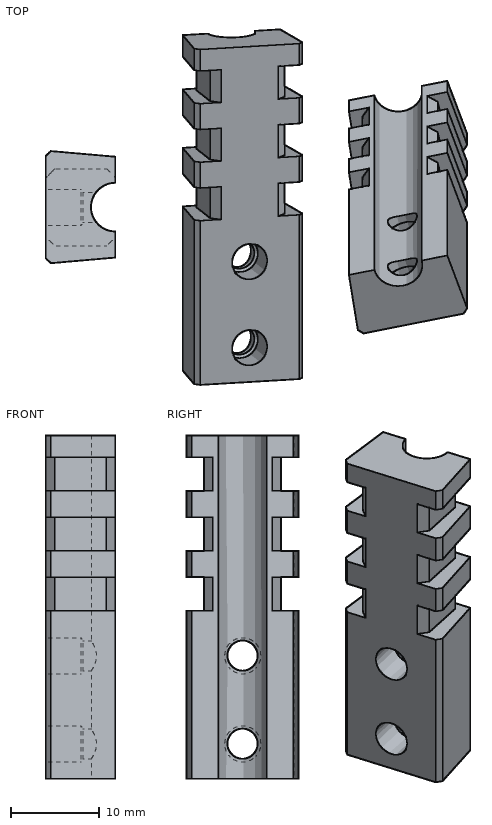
import cadquery as cq
import math

depth = 7.9
max_width = 12.75
height = 39.0
draft_angle = math.radians(5)
corner_chamfer = 0.6

groove_radius = 2.75

notch_height = 3.8
rib_height = 3.0
notch_count = 3
first_notch_z = 19.1
notch_depth = 2.0
core_chamfer = 1.0

hole_heights = (4.0, 14.0)
hole_mouth_diameter = 4.1
hole_inner_diameter = 3.4
wide_bore_depth = 4.0
cone_half_angle = math.radians(118 / 2)

half_width = max_width / 2
core_width = max_width - 2 * notch_depth


def make_body():
    chamfer_x = corner_chamfer * math.cos(draft_angle)
    front_half = half_width - corner_chamfer * (1 - math.sin(draft_angle))
    back_half = half_width - (depth - chamfer_x) * math.tan(draft_angle)
    return (
        cq.Workplane("XY")
        .moveTo(0, -front_half)
        .lineTo(chamfer_x, -half_width)
        .lineTo(depth, -back_half)
        .lineTo(depth, back_half)
        .lineTo(chamfer_x, half_width)
        .lineTo(0, front_half)
        .close()
        .extrude(height)
    )


def make_groove():
    return cq.Workplane("XY").center(depth, 0).circle(groove_radius).extrude(height)


def make_notch(bottom_z):
    """Slab across the part with the chamfered core left out of it."""
    slab = cq.Workplane("XY").rect(depth, max_width).extrude(notch_height)
    core = (
        cq.Workplane("XY")
        .rect(depth, core_width)
        .extrude(notch_height)
        .edges("|Z")
        .chamfer(core_chamfer)
    )
    return slab.cut(core).translate((depth / 2, 0, bottom_z))


def make_hole(center_z):
    """Wide bore from the front face, coned down to a through hole that meets the groove."""
    wide_radius = hole_mouth_diameter / 2
    narrow_radius = hole_inner_diameter / 2
    cone_end = wide_bore_depth + (wide_radius - narrow_radius) / math.tan(cone_half_angle)
    profile = (
        cq.Workplane("XY")
        .lineTo(0, wide_radius)
        .lineTo(wide_bore_depth, wide_radius)
        .lineTo(cone_end, narrow_radius)
        .lineTo(depth, narrow_radius)
        .lineTo(depth, 0)
        .close()
    )
    bore = profile.revolve(360, (0, 0, 0), (1, 0, 0))
    return bore.translate((0, 0, center_z))


result = make_body().cut(make_groove())
for index in range(notch_count):
    notch_z = first_notch_z + index * (notch_height + rib_height)
    result = result.cut(make_notch(notch_z))
for hole_z in hole_heights:
    result = result.cut(make_hole(hole_z))